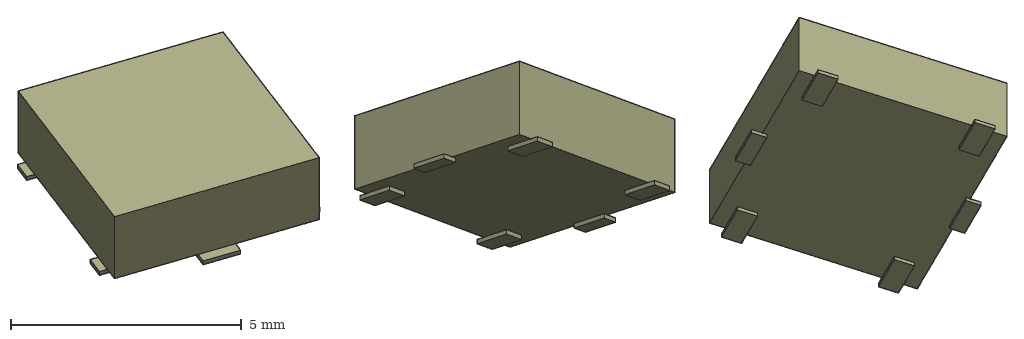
import cadquery as cq

overall_x = 5.41
overall_y = 5.28
overall_height = 1.8

block_side = 4.9
pad_thickness = 0.105

side_pad_length = 0.355
side_pad_width = 0.9

end_pad_width = 0.475
end_pad_length = 0.875
end_pad_spacing = 3.7


def make_block():
    """Plain square block standing on top of the pads."""
    block_height = overall_height - pad_thickness
    return cq.Workplane("XY").workplane(offset=pad_thickness).box(
        block_side, block_side, block_height, centered=(True, True, False)
    )


def make_pad(size_x, size_y, center_x, center_y):
    """Flat rectangular pad with its underside at Z = 0."""
    return cq.Workplane("XY").center(center_x, center_y).box(
        size_x, size_y, pad_thickness, centered=(True, True, False)
    )


block = make_block()

side_pad_center = (overall_x - side_pad_length) / 2
side_pads = [
    make_pad(side_pad_length, side_pad_width, side * side_pad_center, 0)
    for side in (-1, 1)
]

end_pad_center = (overall_y - end_pad_length) / 2
end_pads = [
    make_pad(end_pad_width, end_pad_length, column * end_pad_spacing / 2, end * end_pad_center)
    for column in (-1, 1)
    for end in (-1, 1)
]

result = cq.Compound.makeCompound(
    [block.val()] + [pad.val() for pad in side_pads + end_pads]
)